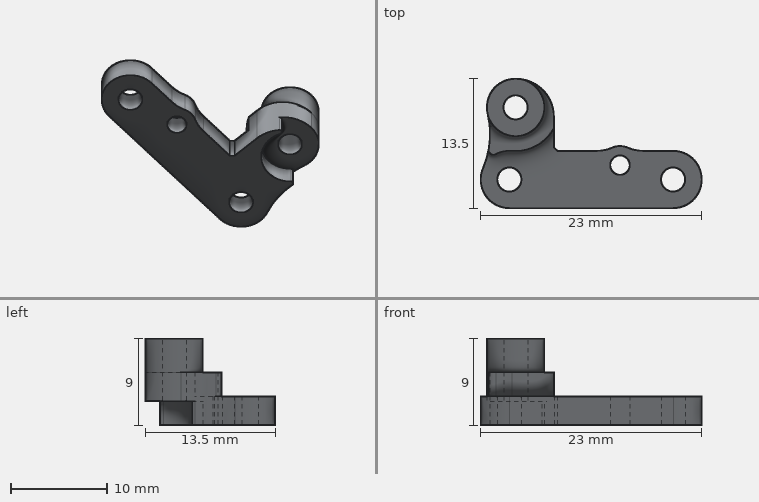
import cadquery as cq
import math

bar_hole_spacing = 17.02
bar_radius = 3.0
bar_thickness = 3.0
hole_radius = 1.25
boss_center = (0.65, 7.5)
boss_radius = 3.0
boss_bottom = 2.5
boss_top = 9.0
step_top = 5.5
step_tip_radius = 0.5
neck_outer_radius = 4.0
neck_waist_radius = 9.0
neck_tip_radius = 0.25
neck_corner_chamfer = 0.35
small_hole_center = (11.5, 1.5)
small_hole_radius = 1.0
bump_radius = 2.0
bump_blend_radius = 4.0

left_hole = (0.0, 0.0)
right_hole = (bar_hole_spacing, 0.0)

step_radius = math.dist(boss_center, left_hole) - bar_radius


def circle_crossing(center_a, radius_a, center_b, radius_b):
    """Crossing of two circles that lies left of the direction from a to b."""
    dx = center_b[0] - center_a[0]
    dy = center_b[1] - center_a[1]
    gap = math.hypot(dx, dy)
    along = (radius_a**2 - radius_b**2 + gap**2) / (2 * gap)
    across = math.sqrt(radius_a**2 - along**2)
    return (
        center_a[0] + (along * dx - across * dy) / gap,
        center_a[1] + (along * dy + across * dx) / gap,
    )


def point_toward(center, radius, target):
    """Point on a circle in the direction of the target."""
    dx = target[0] - center[0]
    dy = target[1] - center[1]
    scale = radius / math.hypot(dx, dy)
    return (center[0] + scale * dx, center[1] + scale * dy)


def extrude_outline(start, segments, bottom, top):
    """Prism over a closed outline of (end, arc center) segments; None is a line.

    Every arc spans less than half a turn.
    """
    sketch = cq.Workplane("XY", origin=(0, 0, bottom)).moveTo(*start)
    previous = start
    for end, center in segments:
        if center is None:
            sketch = sketch.lineTo(*end)
        else:
            radius = math.dist(center, end)
            chord_middle = ((previous[0] + end[0]) / 2, (previous[1] + end[1]) / 2)
            sketch = sketch.threePointArc(point_toward(center, radius, chord_middle), end)
        previous = end
    return sketch.close().extrude(top - bottom)


def cylinder(center, radius, bottom, top):
    return cq.Workplane("XY", origin=(*center, bottom)).circle(radius).extrude(top - bottom)


boss_crown = (boss_center[0], boss_center[1] + boss_radius)
outer_center = (boss_center[0], boss_crown[1] - neck_outer_radius)
neck_side_x = outer_center[0] + neck_outer_radius
neck_side_top = (neck_side_x, outer_center[1])
waist_center = circle_crossing(
    left_hole, bar_radius + neck_waist_radius,
    boss_center, boss_radius + neck_waist_radius,
)
waist_bottom = point_toward(left_hole, bar_radius, waist_center)
waist_top = point_toward(boss_center, boss_radius, waist_center)


def bar_segments():
    """Outline from the neck side around the bar to the bottom of the waist."""
    bump_x = small_hole_center[0]
    blend_y = bar_radius + bump_blend_radius
    blend_distance = bump_radius + bump_blend_radius
    blend_offset = math.sqrt(blend_distance**2 - (blend_y - small_hole_center[1])**2)
    left_blend = (bump_x - blend_offset, blend_y)
    right_blend = (bump_x + blend_offset, blend_y)
    return [
        ((neck_side_x, bar_radius + neck_corner_chamfer), None),
        ((neck_side_x + neck_corner_chamfer, bar_radius), None),
        ((left_blend[0], bar_radius), None),
        (point_toward(small_hole_center, bump_radius, left_blend), left_blend),
        (point_toward(small_hole_center, bump_radius, right_blend), small_hole_center),
        ((right_blend[0], bar_radius), right_blend),
        ((bar_hole_spacing, bar_radius), None),
        ((bar_hole_spacing + bar_radius, 0), right_hole),
        ((bar_hole_spacing, -bar_radius), right_hole),
        ((0, -bar_radius), None),
        (waist_bottom, left_hole),
    ]


def lower_plate():
    """Bar and neck below the boss, hollowed along the boss circle."""
    left_tip = circle_crossing(
        boss_center, boss_radius + neck_tip_radius,
        waist_center, neck_waist_radius + neck_tip_radius,
    )
    right_tip = circle_crossing(
        boss_center, boss_radius + neck_tip_radius,
        outer_center, neck_outer_radius - neck_tip_radius,
    )
    relief_bottom = (boss_center[0], boss_center[1] - boss_radius)
    right_tip_outside = point_toward(outer_center, neck_outer_radius, right_tip)
    segments = [(neck_side_top, outer_center)] + bar_segments() + [
        (point_toward(waist_center, neck_waist_radius, left_tip), waist_center),
        (point_toward(boss_center, boss_radius, left_tip), left_tip),
        (relief_bottom, boss_center),
        (point_toward(boss_center, boss_radius, right_tip), boss_center),
        (right_tip_outside, right_tip),
    ]
    return extrude_outline(right_tip_outside, segments, 0, boss_bottom)


def upper_plate():
    """Full outline of the bar, neck and boss, between boss bottom and bar top."""
    segments = [(neck_side_top, outer_center)] + bar_segments() + [
        (waist_top, waist_center),
        (boss_crown, boss_center),
    ]
    return extrude_outline(boss_crown, segments, boss_bottom, bar_thickness)


def neck_step():
    """Raised part of the neck around the foot of the boss."""
    tip_center = circle_crossing(
        waist_center, neck_waist_radius + step_tip_radius,
        left_hole, bar_radius + step_tip_radius,
    )
    side_drop = math.sqrt(step_radius**2 - (neck_side_x - boss_center[0])**2)
    segments = [
        (neck_side_top, outer_center),
        ((neck_side_x, boss_center[1] - side_drop), None),
        (point_toward(left_hole, bar_radius, boss_center), boss_center),
        (point_toward(left_hole, bar_radius, tip_center), left_hole),
        (point_toward(waist_center, neck_waist_radius, tip_center), tip_center),
        (waist_top, waist_center),
        (boss_crown, boss_center),
    ]
    return extrude_outline(boss_crown, segments, bar_thickness, step_top)


boss_axis = [(*boss_center, 0), (*boss_center, 1)]
boss = cylinder(boss_center, boss_radius, boss_bottom, boss_top).rotate(*boss_axis, 90)

result = lower_plate().union(upper_plate(), clean=False).union(neck_step(), clean=False)
result = result.union(boss)

for hole_center, radius in [
    (left_hole, hole_radius),
    (right_hole, hole_radius),
    (boss_center, hole_radius),
    (small_hole_center, small_hole_radius),
]:
    result = result.cut(cylinder(hole_center, radius, 0, boss_top))